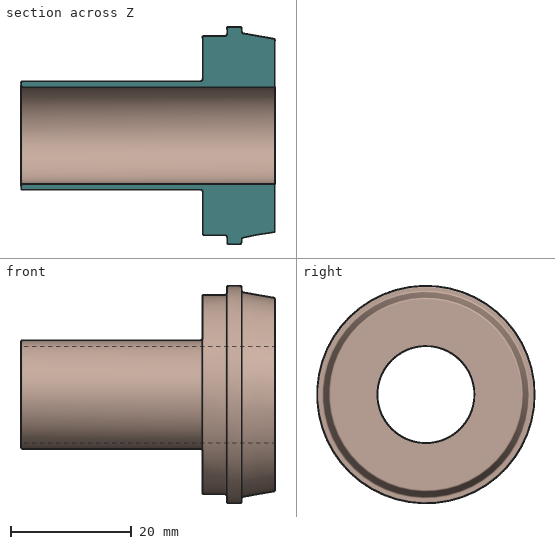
import cadquery as cq
import math

total_length = 42.0
tube_length = 30.0
shoulder_end = 34.0
collar_end = 36.5

bore_diameter = 16.0
tube_diameter = 18.0
shoulder_diameter = 33.0
collar_diameter = 36.0
cone_base_diameter = 33.95
cone_angle = 10.0

edge_radius = 0.3

tube_radius = tube_diameter / 2
shoulder_radius = shoulder_diameter / 2
collar_radius = collar_diameter / 2
bore_radius = bore_diameter / 2
cone_base_radius = cone_base_diameter / 2
cone_drop = (total_length - collar_end) * math.tan(math.radians(cone_angle))
cone_end_radius = cone_base_radius - cone_drop
start_x = -total_length / 2


def solid_body():
    """Stepped tube, shoulder, collar and tapered end turned about the X axis."""
    outline = [
        (0, 0),
        (0, tube_radius),
        (tube_length, tube_radius),
        (tube_length, shoulder_radius),
        (shoulder_end, shoulder_radius),
        (shoulder_end, collar_radius),
        (collar_end, collar_radius),
        (collar_end, cone_base_radius),
        (total_length, cone_end_radius),
        (total_length, 0),
    ]
    profile = cq.Workplane("XY").polyline(outline).close()
    body = profile.revolve(360, (0, 0, 0), (1, 0, 0))
    return body.edges("%CIRCLE").fillet(edge_radius)


def bore():
    """Through bore with a rounded mouth at the tube end."""
    mouth_radius = bore_radius + edge_radius
    profile = (
        cq.Workplane("XY")
        .lineTo(0, mouth_radius)
        .radiusArc((edge_radius, bore_radius), -edge_radius)
        .lineTo(total_length, bore_radius)
        .lineTo(total_length, 0)
        .close()
    )
    return profile.revolve(360, (0, 0, 0), (1, 0, 0))


result = solid_body().cut(bore()).translate((start_x, 0, 0))